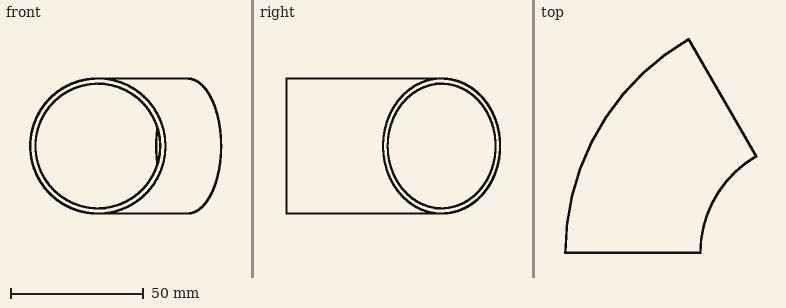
import cadquery as cq
import math

bend_angle = 60.0
overall_length = 80.5
outer_diameter = 51.0
wall = 2.0

outer_radius = outer_diameter / 2
inner_radius = outer_radius - wall

bend_radius = overall_length / math.sin(math.radians(bend_angle)) - outer_radius

bend_axis_start = (bend_radius, 0)
bend_axis_end = (bend_radius, -1)

result = (
    cq.Workplane("XZ")
    .circle(outer_radius)
    .circle(inner_radius)
    .revolve(bend_angle, bend_axis_start, bend_axis_end)
)